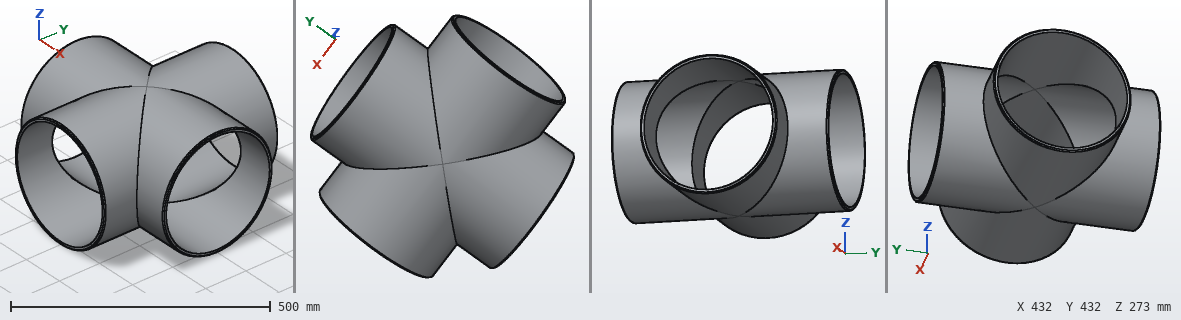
import cadquery as cq

length = 432.0
outer_diameter = 273.0
bore_diameter = 257.5
bevel_radial = 2.5
bevel_axial = 2.5


def revolve_about_x(points):
    """Solid of revolution about X from a profile in the XY plane."""
    return cq.Workplane("XY").polyline(points).close().revolve(360, (0, 0, 0), (1, 0, 0))


def beveled_bar():
    """Solid bar along X with beveled end rims."""
    half = length / 2
    radius = outer_diameter / 2
    rim_radius = radius - bevel_radial
    return revolve_about_x([
        (-half, 0),
        (-half, rim_radius),
        (-half + bevel_axial, radius),
        (half - bevel_axial, radius),
        (half, rim_radius),
        (half, 0),
    ])


def bore():
    """Through bore along X."""
    return cq.Workplane("YZ").circle(bore_diameter / 2).extrude(length / 2, both=True)


def crossed(bar):
    """Join a body along X with its copy along Y."""
    return bar.union(bar.rotate((0, 0, 0), (0, 0, 1), 90))


result = crossed(beveled_bar()).cut(crossed(bore()))